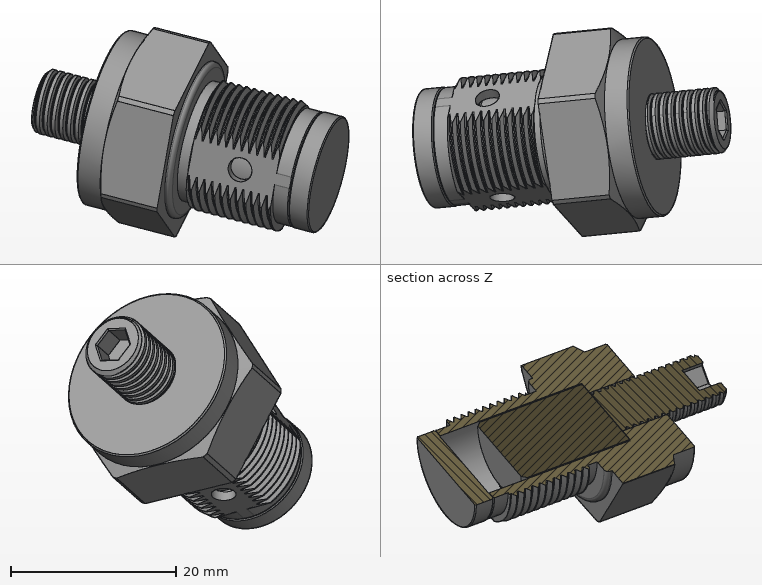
import cadquery as cq
import math


FLANGE_START = 8.5
HEX_START = 11.55
HEX_END = 19.45
SHOULDER_END = 20.25
THREAD_START = 21.5
THREAD_END = 32.4
CAP_START = 34.45
OVERALL_LENGTH = 37.0

FLANGE_RADIUS = 10.9
FLANGE_CHAMFER = 0.2
HEX_ACROSS_FLATS = 21.98
HEX_CORNER_RADIUS = 12.5
HEX_TILT = 1.3
HEX_CHAMFER_LENGTH = 0.7
SHOULDER_RADIUS = 9.8
SHOULDER_FILLET = 0.6
NECK_RADIUS = 7.5
END_NECK_RADIUS = 7.18
RIM_CHAMFER = 0.15
BORE_RADIUS = 6.0
BORE_START = 14.8

FLAT_DISTANCE = 7.15
FLAT_ANGLES = (30, 150, 270)
CROSS_HOLE_DIAMETER = 3.0
CROSS_HOLE_X = 27.82

THREAD_PITCH = 1.0
GROOVE_OVERCUT = 0.05
HOUSING_CREST_RADIUS = 8.18
HOUSING_CREST_WIDTH = 0.15
HOUSING_ROOT_WIDTH = 0.15
HOUSING_GROOVE_X = 19.98
SCREW_CREST_RADIUS = 4.0
SCREW_ROOT_RADIUS = 3.63
SCREW_CREST_WIDTH = 0.45
SCREW_ROOT_WIDTH = 0.1
SCREW_GROOVE_X = -1.25

SCREW_LENGTH = BORE_START
SCREW_TIP_CHAMFER = 0.48
SOCKET_ACROSS_FLATS = 4.0
SOCKET_MOUTH_ACROSS_FLATS = 4.33
SOCKET_CHAMFER_DEPTH = 0.2
SOCKET_DEPTH = 2.95
SOCKET_TILT = 13.6

PLUNGER_RADIUS = 5.9
PLUNGER_EDGE_X = 29.0
PLUNGER_CHAMFER = 0.55
CAP_RADIUS = 7.25


def cylinder(radius, start, end):
    """Round bar along the X axis."""
    return cq.Workplane("YZ", origin=(start, 0, 0)).circle(radius).extrude(end - start)


def hexagon(across_flats, start, tilt):
    """Hexagon in a YZ plane with one corner turned by `tilt` degrees from +Y towards +Z."""
    corner_diameter = across_flats / math.cos(math.radians(30))
    plane = cq.Workplane("YZ", origin=(start, 0, 0)).transformed(rotate=(0, 0, tilt))
    return plane.polygon(6, corner_diameter)


def threaded_rod(envelope, groove_x, crest_radius, root_radius, crest_width, root_width):
    """Right-hand threaded rod along X, trimmed to `envelope`.

    A groove is swept along a helix, starting at -Z at groove_x, in a rod longer than the envelope.
    """
    limits = envelope.val().BoundingBox()
    turns = math.ceil((limits.xmax - groove_x) / THREAD_PITCH) + 1
    helix = cq.Wire.makeHelix(THREAD_PITCH, turns * THREAD_PITCH, root_radius)
    half_root = root_width / 2
    half_mouth = (THREAD_PITCH - crest_width) / 2
    flank_slope = (half_mouth - half_root) / (crest_radius - root_radius)
    outer_radius = crest_radius + GROOVE_OVERCUT
    half_outer = half_mouth + GROOVE_OVERCUT * flank_slope
    groove = (
        cq.Workplane("XZ")
        .polyline([
            (root_radius, -half_root),
            (outer_radius, -half_outer),
            (outer_radius, half_outer),
            (root_radius, half_root),
        ])
        .close()
        .sweep(cq.Workplane(helix), isFrenet=True)
        .rotate((0, 0, 0), (0, 1, 0), 90)
        .translate((groove_x, 0, 0))
    )
    margin = 4 * THREAD_PITCH
    rod = cylinder(crest_radius, groove_x - margin, limits.xmax + margin)
    return rod.cut(groove).intersect(envelope)


def make_hex_head():
    """Hexagon with its corners trimmed round and its front corners chamfered."""
    length = HEX_END - HEX_START
    prism = hexagon(HEX_ACROSS_FLATS, HEX_START, HEX_TILT).extrude(length)
    envelope = (
        cq.Workplane("XY")
        .moveTo(HEX_START, 0)
        .lineTo(HEX_START, FLANGE_RADIUS)
        .lineTo(HEX_START + HEX_CHAMFER_LENGTH, HEX_CORNER_RADIUS)
        .lineTo(HEX_END, HEX_CORNER_RADIUS)
        .lineTo(HEX_END, 0)
        .close()
        .revolve(360, (0, 0, 0), (1, 0, 0))
    )
    return prism.intersect(envelope)


def flatted_cylinder(radius, start, end):
    """Round bar along X with the three housing flats."""
    bar = cylinder(radius, start, end)
    for angle in FLAT_ANGLES:
        waste = (
            cq.Workplane("XY")
            .box(end - start, radius, 2 * radius, centered=(False, True, True))
            .translate((start, FLAT_DISTANCE + radius / 2, 0))
            .rotate((0, 0, 0), (1, 0, 0), angle)
        )
        bar = bar.cut(waste)
    return bar


def make_threaded_barrel():
    """Threaded barrel and plain end neck, with the three flats running along both."""
    thread = threaded_rod(
        flatted_cylinder(HOUSING_CREST_RADIUS + GROOVE_OVERCUT, THREAD_START, THREAD_END),
        HOUSING_GROOVE_X, HOUSING_CREST_RADIUS, NECK_RADIUS, HOUSING_CREST_WIDTH, HOUSING_ROOT_WIDTH,
    )
    end_neck = cylinder(END_NECK_RADIUS, THREAD_END, CAP_START).faces(">X").chamfer(RIM_CHAMFER)
    flats = flatted_cylinder(HOUSING_CREST_RADIUS, THREAD_END, CAP_START)
    return thread.union(end_neck.intersect(flats))


def make_housing():
    """Flange, hexagon, shoulder, neck and threaded barrel, bored for the screw and the plunger."""
    flange = cylinder(FLANGE_RADIUS, FLANGE_START, HEX_START).faces("<X").chamfer(FLANGE_CHAMFER)
    shoulder = cylinder(SHOULDER_RADIUS, HEX_END, SHOULDER_END).faces(">X").edges().fillet(SHOULDER_FILLET)
    neck = cylinder(NECK_RADIUS, SHOULDER_END, THREAD_START)
    body = flange.union(make_hex_head()).union(shoulder).union(neck).union(make_threaded_barrel())

    body = body.cut(cylinder(SCREW_CREST_RADIUS, FLANGE_START, BORE_START))
    body = body.cut(cylinder(BORE_RADIUS, BORE_START, CAP_START))
    for angle in FLAT_ANGLES:
        cross_hole = (
            cq.Workplane("XZ", origin=(CROSS_HOLE_X, 0, 0))
            .circle(CROSS_HOLE_DIAMETER / 2)
            .extrude(-HOUSING_CREST_RADIUS)
            .rotate((0, 0, 0), (1, 0, 0), angle)
        )
        body = body.cut(cross_hole)
    return body


def make_set_screw():
    """Threaded screw with a chamfered tip and a hexagon socket."""
    envelope = cylinder(SCREW_CREST_RADIUS + GROOVE_OVERCUT, 0, SCREW_LENGTH)
    envelope = envelope.faces("<X").chamfer(SCREW_TIP_CHAMFER + GROOVE_OVERCUT)
    screw = threaded_rod(
        envelope, SCREW_GROOVE_X, SCREW_CREST_RADIUS, SCREW_ROOT_RADIUS, SCREW_CREST_WIDTH, SCREW_ROOT_WIDTH,
    )
    socket = hexagon(SOCKET_ACROSS_FLATS, 0, SOCKET_TILT).extrude(SOCKET_DEPTH)
    mouth_slope = (SOCKET_MOUTH_ACROSS_FLATS - SOCKET_ACROSS_FLATS) / 2 / SOCKET_CHAMFER_DEPTH
    mouth_taper = math.degrees(math.atan(mouth_slope))
    mouth = hexagon(SOCKET_MOUTH_ACROSS_FLATS, 0, SOCKET_TILT).extrude(
        SOCKET_CHAMFER_DEPTH, taper=mouth_taper
    )
    return screw.cut(socket).cut(mouth)


def make_plunger():
    """Plunger in the bore, seen through the cross holes."""
    plunger = cylinder(PLUNGER_RADIUS, BORE_START, PLUNGER_EDGE_X + PLUNGER_CHAMFER)
    return plunger.faces(">X").chamfer(PLUNGER_CHAMFER)


def make_cap():
    """Disc that closes the end of the housing, with both rims chamfered."""
    return cylinder(CAP_RADIUS, CAP_START, OVERALL_LENGTH).faces("<X or >X").chamfer(RIM_CHAMFER)


housing = make_housing()
set_screw = make_set_screw()
plunger = make_plunger()
cap = make_cap()

result = cq.Compound.makeCompound([housing.val(), set_screw.val(), plunger.val(), cap.val()])